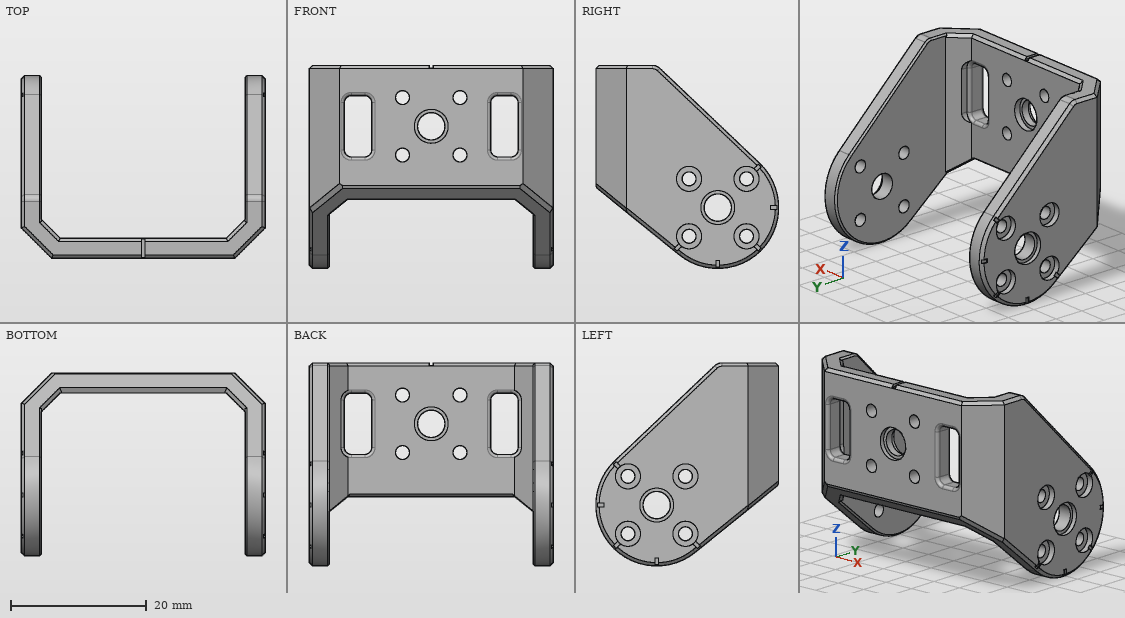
import cadquery as cq
import math

WIDTH = 36.0
WEB_HEIGHT = 18.0
TIP_RADIUS = 9.0
PIVOT_Y = 18.0
TOP_Z = 21.0
ARM_TOP_Y = 9.0
ARM_TOP_ROUND = 1.5
WALL = 3.0
CORNER = 4.5

BREAK = 0.5
ARM_INNER_BREAK = 0.3
WEB_UNDERSIDE_BREAK = 0.25
WEB_INNER_UNDERSIDE_BREAK = 1.05
CORNER_INNER_UNDERSIDE_BREAK = 0.7

BOLT_CIRCLE = 12.0
BOLT_HOLE = 2.0
BOLT_HEAD = 3.7
BOLT_HEAD_DEPTH = 1.0
CENTER_HOLE = 4.0
CENTER_RECESS = 5.0
CENTER_RECESS_DEPTH = 0.75
WEB_INNER_RECESS_DEPTH = 1.0

SLOT_X = 10.8
SLOT_WIDTH = 4.0
SLOT_HEIGHT = 9.0
SLOT_CORNER = 1.0
SLOT_RIM_RADIUS = 0.5

MARK_WIDTH = 0.58
MARK_LENGTH = 1.2
MARK_DEPTH = 0.25
WEB_MARK_DEPTH = 0.4
MARK_ANGLES = (45, 0, -45, -90, -135)

HALF_WIDTH = WIDTH / 2
INNER_HALF_WIDTH = HALF_WIDTH - WALL
INNER_CORNER = CORNER - WALL * (2 - math.sqrt(2))
BOTTOM_Z = TOP_Z - WEB_HEIGHT
WEB_CENTER_Z = TOP_Z - WEB_HEIGHT / 2
BOLT_OFFSET = BOLT_CIRCLE / 2 / math.sqrt(2)
BOLT_POINTS = [(i * BOLT_OFFSET, j * BOLT_OFFSET) for i in (-1, 1) for j in (-1, 1)]
FAR = 3 * WIDTH


def tangent_angle(y, z, turn):
    """Angle around the pivot where a line from (y, z) touches the arm tip."""
    dy = y - PIVOT_Y
    return math.atan2(z, dy) + turn * math.acos(TIP_RADIUS / math.hypot(dy, z))


def tip_point(angle):
    return (PIVOT_Y + TIP_RADIUS * math.cos(angle), TIP_RADIUS * math.sin(angle))


UPPER_ANGLE = tangent_angle(ARM_TOP_Y, TOP_Z, -1)
LOWER_ANGLE = tangent_angle(0, BOTTOM_Z, 1) - 2 * math.pi

UP = (0, 0, 1)
UNDERSIDE = (0, math.cos(LOWER_ANGLE), math.sin(LOWER_ANGLE))
UNDERSIDE_SLOPE = -math.cos(LOWER_ANGLE) / math.sin(LOWER_ANGLE)


def side_prism(half_width):
    """Side outline of the bracket, extruded to both sides of X = 0."""
    prism = (
        cq.Workplane("YZ")
        .moveTo(0, BOTTOM_Z)
        .lineTo(0, TOP_Z)
        .lineTo(ARM_TOP_Y, TOP_Z)
        .lineTo(*tip_point(UPPER_ANGLE))
        .threePointArc(tip_point((UPPER_ANGLE + LOWER_ANGLE) / 2), tip_point(LOWER_ANGLE))
        .close()
        .extrude(half_width, both=True)
    )
    arm_top = cq.selectors.BoxSelector(
        (-FAR, ARM_TOP_Y - BREAK, TOP_Z - BREAK),
        (FAR, ARM_TOP_Y + BREAK, TOP_Z + BREAK),
    )
    return prism.edges(arm_top).fillet(ARM_TOP_ROUND)


def plan_prism(half_width, front_y, corner):
    """U-shaped plan outline with 45 degree corners, running on towards +Y."""
    return (
        cq.Workplane("XY")
        .moveTo(-half_width, FAR)
        .lineTo(-half_width, front_y + corner)
        .lineTo(corner - half_width, front_y)
        .lineTo(half_width - corner, front_y)
        .lineTo(half_width, front_y + corner)
        .lineTo(half_width, FAR)
        .close()
        .extrude(FAR, both=True)
    )


def half_space(point, normal):
    """Everything on the normal side of a plane, as far as the part reaches."""
    return cq.Workplane(cq.Plane(origin=point, normal=normal)).rect(2 * FAR, 2 * FAR).extrude(FAR)


def bevel_region(point, normal_a, normal_b, setback):
    """Space outside an equal-leg bevel on the edge through point between two faces."""
    a = cq.Vector(*normal_a)
    b = cq.Vector(*normal_b)
    outward = (a + b).normalized()
    depth = setback * math.sin(a.getAngle(b) / 2)
    return half_space((cq.Vector(*point) - outward * depth).toTuple(), outward.toTuple())


def panel_bevels(front_y, corner, half_width, facing, end_normal, web_break, corner_break):
    """Bevel regions of the web and both corner panels along the top or the underside.

    facing is -1 for the outer faces and 1 for the inner faces.
    """
    end_z = TOP_Z if end_normal == UP else BOTTOM_Z + UNDERSIDE_SLOPE * front_y
    regions = [bevel_region((0, front_y, end_z), (0, facing, 0), end_normal, web_break)]
    for side in (-1, 1):
        point = (side * (half_width - corner), front_y, end_z)
        diagonal = (-side * facing * math.sqrt(0.5), facing * math.sqrt(0.5), 0)
        regions.append(bevel_region(point, diagonal, end_normal, corner_break))
    return regions


body = side_prism(HALF_WIDTH).faces("<X or >X").edges().chamfer(BREAK)
body = body.intersect(plan_prism(HALF_WIDTH, 0, CORNER))
for end_normal, web_break in ((UP, BREAK), (UNDERSIDE, WEB_UNDERSIDE_BREAK)):
    for region in panel_bevels(0, CORNER, HALF_WIDTH, -1, end_normal, web_break, BREAK):
        body = body.cut(region)

body = body.cut(plan_prism(INNER_HALF_WIDTH, WALL, INNER_CORNER))


def arm_rim_space():
    """Space between the arms, widened by a bevel around the inner edge of each arm."""
    half_width = INNER_HALF_WIDTH + ARM_INNER_BREAK
    space = cq.Workplane("XY").box(2 * half_width, FAR, FAR)
    for side in (-1, 1):
        arm = side_prism(WALL / 2).translate((side * (INNER_HALF_WIDTH + WALL / 2), 0, 0))
        arm = arm.faces("<X" if side > 0 else ">X").edges().chamfer(ARM_INNER_BREAK)
        space = space.cut(arm)
    return space


rim_space = arm_rim_space()
arm_zone = half_space((0, WALL + INNER_CORNER, 0), (0, 1, 0))
body = body.cut(rim_space.intersect(arm_zone))
inner_bevels = (
    (UP, BREAK, BREAK),
    (UNDERSIDE, WEB_INNER_UNDERSIDE_BREAK, CORNER_INNER_UNDERSIDE_BREAK),
)
for bevel in inner_bevels:
    flare = rim_space
    for region in panel_bevels(WALL, INNER_CORNER, INNER_HALF_WIDTH, 1, *bevel):
        flare = flare.intersect(region)
    body = body.cut(flare)


def bores(face, points, diameter, depth):
    """Round holes sunk into a face whose normal points out of the wall."""
    return face.pushPoints(points).circle(diameter / 2).extrude(-depth)


web_face = cq.Workplane("XZ", origin=(0, 0, WEB_CENTER_Z))
web_inner_face = cq.Workplane("ZX", origin=(0, WALL, WEB_CENTER_Z))
body = body.cut(bores(web_face, BOLT_POINTS, BOLT_HOLE, WALL))
body = body.cut(bores(web_face, [(0, 0)], CENTER_HOLE, WALL))
body = body.cut(bores(web_face, [(0, 0)], CENTER_RECESS, CENTER_RECESS_DEPTH))
body = body.cut(bores(web_inner_face, [(0, 0)], CENTER_RECESS, WEB_INNER_RECESS_DEPTH))

for side in (-1, 1):
    arm_plane = cq.Plane(origin=(side * HALF_WIDTH, PIVOT_Y, 0), xDir=(0, side, 0), normal=(side, 0, 0))
    arm_face = cq.Workplane(arm_plane)
    body = body.cut(bores(arm_face, BOLT_POINTS, BOLT_HOLE, WALL))
    body = body.cut(bores(arm_face, BOLT_POINTS, BOLT_HEAD, BOLT_HEAD_DEPTH))
    body = body.cut(bores(arm_face, [(0, 0)], CENTER_HOLE, WALL))
    body = body.cut(bores(arm_face, [(0, 0)], CENTER_RECESS, CENTER_RECESS_DEPTH))
    for angle in MARK_ANGLES:
        mark = (
            cq.Workplane("XY")
            .box(2 * MARK_DEPTH, 2 * MARK_LENGTH, MARK_WIDTH)
            .translate((side * HALF_WIDTH, TIP_RADIUS, 0))
            .rotate((0, 0, 0), (1, 0, 0), angle)
            .translate((0, PIVOT_Y, 0))
        )
        body = body.cut(mark)


def slot_prism(start_y, length, margin):
    """Rounded rectangle along +Y, larger than the plain slot by margin all round."""
    return (
        cq.Workplane("XZ", origin=(0, start_y, 0))
        .rect(SLOT_WIDTH + 2 * margin, SLOT_HEIGHT + 2 * margin)
        .extrude(-length)
        .edges("|Y")
        .fillet(SLOT_CORNER + margin)
    )


def slot_cutter():
    """Slot with its rims rounded on both web faces, opening past the inner face."""
    blank = cq.Workplane("XZ").rect(2 * SLOT_WIDTH, 2 * SLOT_HEIGHT).extrude(-WALL)
    pierced = blank.cut(slot_prism(0, WALL, 0))
    reach_x = SLOT_WIDTH / 2 + SLOT_RIM_RADIUS
    reach_z = SLOT_HEIGHT / 2 + SLOT_RIM_RADIUS
    rim_zone = cq.selectors.BoxSelector(
        (-reach_x, -SLOT_RIM_RADIUS, -reach_z),
        (reach_x, WALL + SLOT_RIM_RADIUS, reach_z),
    )
    pierced = pierced.edges(rim_zone).edges("not |Y").fillet(SLOT_RIM_RADIUS)
    return blank.cut(pierced).union(slot_prism(WALL, CORNER, SLOT_RIM_RADIUS))


for side in (-1, 1):
    body = body.cut(slot_cutter().translate((side * SLOT_X, 0, WEB_CENTER_Z)))

center_mark = cq.Workplane("XY").box(MARK_WIDTH, 2 * WALL, 2 * WEB_MARK_DEPTH)
body = body.cut(center_mark.translate((0, WALL, TOP_Z)))

result = body